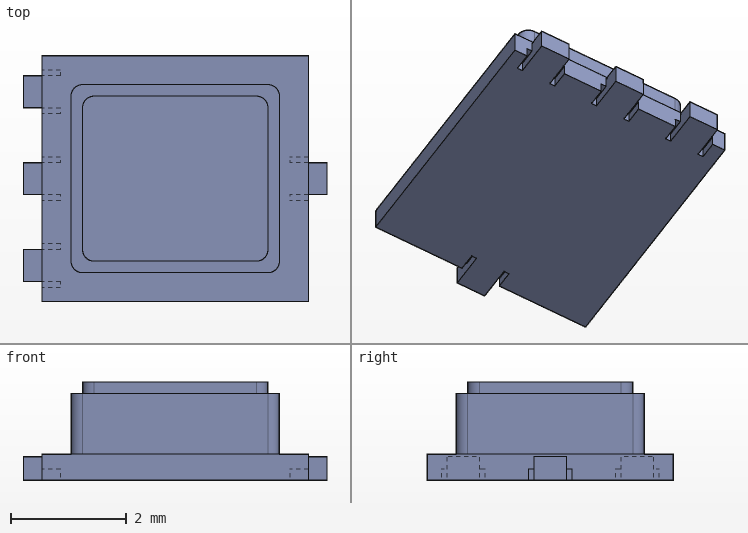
import cadquery as cq

overall_length = 5.25
base_width = 4.25
overall_height = 1.7

lead_reach = 0.32
base_length = overall_length - 2 * lead_reach
base_height = 0.45

cap_length = 3.6
cap_width = 3.25
step = 0.2
cap_top = overall_height - step
lid_length = cap_length - 2 * step
lid_width = cap_width - 2 * step
corner_radius = step

lead_width = 0.555
lead_height = 0.41
lead_pitch = 1.5
notch_clearance = 0.1
notch_width = lead_width + 2 * notch_clearance
notch_height = 0.2
notch_depth = lead_reach


def rounded_block(length, width, bottom, top):
    """Centred block with rounded vertical corners."""
    block = cq.Workplane("XY").workplane(offset=bottom).rect(length, width).extrude(top - bottom)
    return block.edges("|Z").fillet(corner_radius)


def edge_block(side, y, inward, outward, width, height):
    """Block on Z = 0 that straddles the base edge on the -X (side -1) or +X (side 1) end."""
    x = side * (base_length + outward - inward) / 2
    return (
        cq.Workplane("XY")
        .center(x, y)
        .rect(inward + outward, width)
        .extrude(height)
    )


base = cq.Workplane("XY").rect(base_length, base_width).extrude(base_height)
cap = rounded_block(cap_length, cap_width, base_height, cap_top)
lid = rounded_block(lid_length, lid_width, cap_top, overall_height)
result = base.union(cap).union(lid)

lead_places = [(-1, -lead_pitch), (-1, 0), (-1, lead_pitch), (1, 0)]
for side, y in lead_places:
    notch = edge_block(side, y, notch_depth, 0, notch_width, notch_height)
    lead = edge_block(side, y, notch_depth, lead_reach, lead_width, lead_height)
    result = result.cut(notch).union(lead)